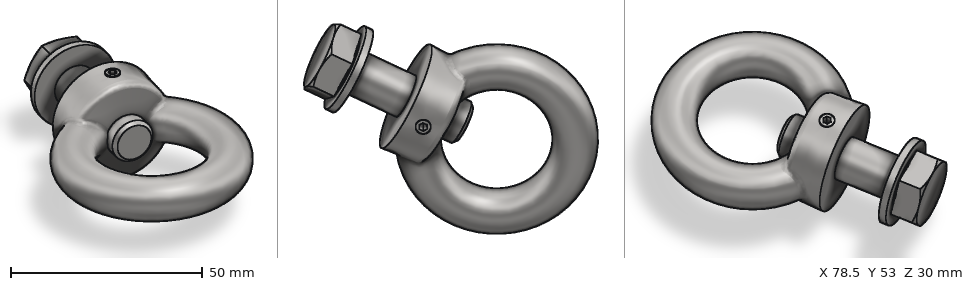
import cadquery as cq
import math

AXIS_START = (0, 0, 0)
AXIS_DIRECTION = (1, 0, 0)

overall_length = 78.5

shank_diameter = 12.0
head_height = 7.5
head_across_flats = 18.0
head_chamfer_angle = math.radians(30)
bearing_face_diameter = 16.63
bearing_face_height = 0.6
bolt_length = 35.0
bolt_tip_chamfer = 1.0
hexagon_height = head_height - bearing_face_height

washer_diameter = 24.0
washer_thickness = 2.1

collar_x = 25.3
collar_radius = 15.0
collar_height = 12.8
collar_taper = math.radians(2.5)
collar_front_angle = math.radians(12)
collar_rim_fillet = 2.0
collar_front_x = collar_x + collar_height

ring_wire_diameter = 12.0
ring_mean_radius = 20.5
ring_root_fillet = 2.0
ring_wire_radius = ring_wire_diameter / 2
ring_x = overall_length - ring_mean_radius - ring_wire_radius

screw_x = collar_x + 5.1
screw_diameter = 4.0
screw_socket_across_flats = 2.0
screw_half_length = collar_radius

pick_margin = 0.1


def bar_along_x(diameter, start_x, length):
    """Round bar along X."""
    return cq.Workplane("YZ").workplane(offset=start_x).circle(diameter / 2).extrude(length)


def across_corners(across_flats):
    """Corner-to-corner size of a hexagon."""
    return across_flats / math.cos(math.pi / 6)


def turned(points):
    """Solid of revolution about X from (x, radius) points."""
    return cq.Workplane("XY").polyline(points).close().revolve(360, AXIS_START, AXIS_DIRECTION)


def make_head():
    """Hexagon head with its outer corners turned down to a cone, plus the bearing face."""
    corner_diameter = across_corners(head_across_flats)
    hexagon = cq.Workplane("YZ").polygon(6, corner_diameter).extrude(hexagon_height)

    face_radius = head_across_flats / 2
    cone_radius = corner_diameter
    cone_length = (cone_radius - face_radius) * math.tan(head_chamfer_angle)
    cone_envelope = turned([
        (0, 0),
        (0, face_radius),
        (cone_length, cone_radius),
        (head_height, cone_radius),
        (head_height, 0),
    ])
    bearing_face = bar_along_x(bearing_face_diameter, hexagon_height, bearing_face_height)
    return hexagon.intersect(cone_envelope).union(bearing_face)


def make_bolt():
    """Head and shank with a chamfered tip."""
    shank = bar_along_x(shank_diameter, hexagon_height, bearing_face_height + bolt_length)
    shank = shank.faces(">X").chamfer(bolt_tip_chamfer)
    return make_head().union(shank)


def make_washer():
    """Plain washer, closed around the shank."""
    return bar_along_x(washer_diameter, head_height, washer_thickness)


def make_collar():
    """Tapered collar; its rim is where the side cone meets the front cone."""
    side_slope = math.tan(collar_taper)
    front_slope = math.tan(collar_front_angle)
    front_radius = shank_diameter / 2
    apex_height = collar_height + front_radius * front_slope
    rim_radius = (collar_radius - apex_height * side_slope) / (1 - front_slope * side_slope)
    rim_x = collar_x + apex_height - rim_radius * front_slope

    collar = turned([
        (collar_x, 0),
        (collar_x, collar_radius),
        (rim_x, rim_radius),
        (collar_front_x, front_radius),
        (collar_front_x, 0),
    ])
    rim_box = cq.selectors.BoxSelector(
        (rim_x - pick_margin, -collar_radius, -collar_radius),
        (rim_x + pick_margin, collar_radius, collar_radius),
        boundingbox=True,
    )
    return collar.edges(rim_box).fillet(collar_rim_fillet)


def make_ring():
    """Closed round ring, turned so that its seam is buried in the collar."""
    torus = cq.Solid.makeTorus(
        ring_mean_radius, ring_wire_radius, cq.Vector(ring_x, 0, 0), cq.Vector(0, 0, 1)
    )
    return cq.Workplane(torus).rotate((ring_x, 0, 0), (ring_x, 0, 1), 180)


def make_eye():
    """Collar and ring joined, with a fillet around both roots of the ring."""
    eye = make_collar().union(make_ring())
    root_half_height = ring_wire_radius + pick_margin
    root_box = cq.selectors.BoxSelector(
        (collar_x + pick_margin, -collar_radius, -root_half_height),
        (collar_front_x + pick_margin, collar_radius, root_half_height),
        boundingbox=True,
    )
    return eye.edges(root_box).fillet(ring_root_fillet)


def make_screw():
    """Set screw, flat-ended level with the widest part of the collar."""
    outline = cq.Workplane("XY").center(screw_x, 0).circle(screw_diameter / 2)
    return outline.extrude(screw_half_length, both=True)


def make_screw_socket():
    """Hexagon passage through the set screw and the bolt."""
    socket_diameter = across_corners(screw_socket_across_flats)
    outline = cq.Workplane("XY").center(screw_x, 0).polygon(6, socket_diameter)
    return outline.extrude(screw_half_length, both=True)


assembly = make_eye().union(make_bolt()).union(make_washer()).union(make_screw())
result = cq.Workplane(assembly.cut(make_screw_socket()).solids().val())